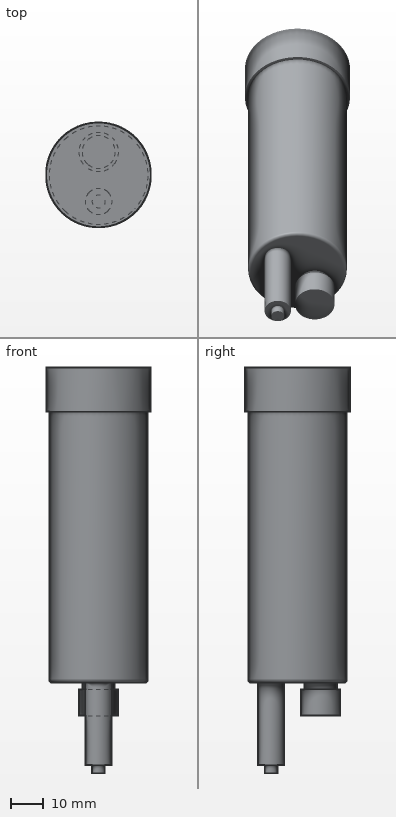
import cadquery as cq

total_height = 123.5
cap_diameter = 32.0
cap_height = 13.5
body_diameter = 30.0
body_bottom_z = 27.5
body_rim_radius = 1.0

stem_y = -8.0
stem_diameter = 8.0
tip_diameter = 4.0
tip_height = 2.5

connector_y = 7.0
connector_diameter = 12.0
connector_bottom_z = 17.5
neck_diameter = 10.0
neck_height = 2.0


def cylinder(diameter, bottom_z, top_z, y=0.0):
    """Vertical cylinder between two heights, centred on X = 0."""
    return (
        cq.Workplane("XY", origin=(0, y, bottom_z))
        .circle(diameter / 2)
        .extrude(top_z - bottom_z)
    )


cap_bottom_z = total_height - cap_height
cap = cylinder(cap_diameter, cap_bottom_z, total_height)
body = cylinder(body_diameter, body_bottom_z, cap_bottom_z).faces("<Z").fillet(body_rim_radius)

stem = cylinder(stem_diameter, tip_height, body_bottom_z, stem_y)
tip = cylinder(tip_diameter, 0, tip_height, stem_y)

connector_top_z = body_bottom_z - neck_height
neck = cylinder(neck_diameter, connector_top_z, body_bottom_z, connector_y)
connector = cylinder(connector_diameter, connector_bottom_z, connector_top_z, connector_y)

result = cap.union(body).union(stem).union(tip).union(neck).union(connector)